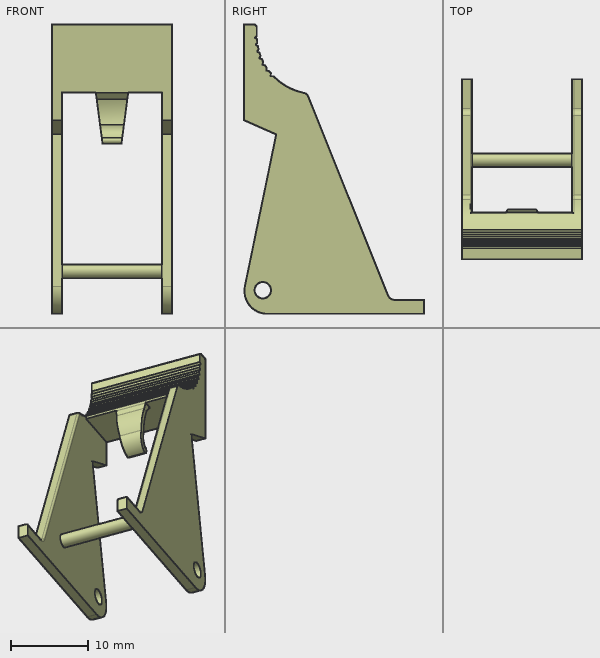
import cadquery as cq
import math

width = 15.6
depth = 23.35
height = 37.52

arm_thickness = 1.35
inner_width = width - 2 * arm_thickness
bridge_back_y = 6.08
bridge_bottom_z = 28.7
inner_edge_radius = 0.25

plate_thickness = 1.7
plate_bottom_z = 25.1
notch = (4.15, 23.25)
front_toe = (-0.65, 0.0)
toe_radius = 3.0
foot_height = 1.85
foot_corner = (18.9, foot_height)
foot_radius = 0.95
shoulder_y = 8.18
shoulder_radius = 0.75
plate_top_chamfer = 0.25

rest_radius = 7.58
rest_center = (plate_thickness + rest_radius, 36.1)

groove_count = 7
first_groove_angle = 2.0
groove_pitch_angle = 6.7
groove_depth = 0.25
groove_half_width = 0.23

hole_diameter = 2.1
hole_center = (2.45, 3.08)
pin_diameter = 1.8
pin_center = (12.85, 5.5)

tongue_root_width = 4.28
tongue_tip_width = 2.48
tongue_bottom_z = 22.05
tongue_thickness = 0.7
tongue_waist = (5.75, 26.2)
tongue_bow_radius = 5.33
tongue_bow_half_height = 1.65
tongue_tip = (4.5, 22.85)
tongue_curl = (5.18, 23.37)


def rest_point(angle, radius):
    """Point on a circle about the thumb rest center, angle measured down from its front."""
    turn = math.radians(angle)
    return (rest_center[0] - radius * math.cos(turn), rest_center[1] - radius * math.sin(turn))


def extrude_across(sketch, across):
    """Extrude a YZ sketch symmetrically about the middle plane."""
    return sketch.extrude(across / 2, both=True)


def edge_near(point):
    """Selector for the edge running along X closest to a (y, z) point."""
    return cq.selectors.NearestToPointSelector((0, point[0], point[1]))


def make_body():
    """Full-width block with the lever's side profile."""
    shoulder_angle = math.degrees(math.acos((rest_center[0] - shoulder_y) / rest_radius))
    shoulder = rest_point(shoulder_angle, rest_radius)
    sketch = (
        cq.Workplane("YZ")
        .moveTo(*front_toe)
        .lineTo(depth, 0)
        .lineTo(depth, foot_height)
        .lineTo(*foot_corner)
        .lineTo(*shoulder)
        .threePointArc(rest_point(shoulder_angle / 2, rest_radius), rest_point(0, rest_radius))
        .lineTo(plate_thickness, height)
        .lineTo(0, height)
        .lineTo(0, plate_bottom_z)
        .lineTo(*notch)
        .close()
    )
    body = extrude_across(sketch, width)
    body = body.edges("|X").edges(edge_near(front_toe)).fillet(toe_radius)
    body = body.edges("|X").edges(edge_near(foot_corner)).fillet(foot_radius)
    body = body.edges("|X").edges(edge_near(shoulder)).fillet(shoulder_radius)
    return body.edges("|X").edges(edge_near((plate_thickness, height))).chamfer(plate_top_chamfer)


def make_opening():
    """Space between the arms: behind the bridge and below it."""
    behind = cq.Workplane("XY").box(inner_width, depth, height, centered=(True, False, False))
    behind = behind.translate((0, bridge_back_y, 0))
    below = cq.Workplane("XY").box(inner_width, depth, bridge_bottom_z, centered=(True, False, False))
    return behind.union(below)


def round_inner_edges(body):
    """Round the inside upper edges of the arms and the rear upper edge of the bridge."""
    margin = 0.05
    low = (-inner_width / 2 - margin, bridge_back_y - margin, foot_height - margin)
    high = (inner_width / 2 + margin, depth + margin, height)
    upper_edges = cq.selectors.BoxSelector(low, high, boundingbox=True)
    bridge_edges = body.edges(upper_edges).edges("|X").edges(">Z")
    arm_edges = body.edges(upper_edges).edges("not |X").edges("not |Z")
    return bridge_edges.add(arm_edges).fillet(inner_edge_radius)


def make_grooves():
    """V grooves across the full width of the thumb rest."""
    half_angle = math.degrees(groove_half_width / rest_radius)
    grooves = cq.Workplane("YZ")
    for index in range(groove_count):
        angle = first_groove_angle + index * groove_pitch_angle
        sketch = cq.Workplane("YZ").polyline([
            rest_point(angle - half_angle, rest_radius),
            rest_point(angle, rest_radius + groove_depth),
            rest_point(angle + half_angle, rest_radius),
            rest_point(angle, rest_radius - groove_depth),
        ]).close()
        grooves = grooves.add(extrude_across(sketch, width))
    return grooves.combine()


def make_tongue():
    """Bowed strip curling forward at its rounded tip and narrowing downward."""
    waist_y, waist_z = tongue_waist
    bow_rise = tongue_bow_radius - math.sqrt(tongue_bow_radius**2 - tongue_bow_half_height**2)
    bow_y = waist_y - bow_rise
    bow_low = waist_z - tongue_bow_half_height
    bow_high = waist_z + tongue_bow_half_height
    root_z = bridge_bottom_z + tongue_thickness / 4
    tip_y, tip_z = tongue_tip
    tip_radius = (tip_z - tongue_bottom_z) / 2
    curl_y, curl_z = tongue_curl
    curl_offset = tongue_thickness / math.sqrt(2)
    strip = extrude_across(
        cq.Workplane("YZ")
        .moveTo(bow_y - tongue_thickness, root_z)
        .lineTo(bow_y - tongue_thickness, bridge_bottom_z)
        .lineTo(bow_y, bow_high)
        .threePointArc(tongue_waist, (bow_y, bow_low))
        .threePointArc(tongue_curl, tongue_tip)
        .threePointArc((tip_y - tip_radius, tip_z - tip_radius), (tip_y, tongue_bottom_z))
        .threePointArc(
            (curl_y + curl_offset, curl_z - curl_offset),
            (bow_y + tongue_thickness, bow_low),
        )
        .threePointArc((waist_y + tongue_thickness, waist_z), (bow_y + tongue_thickness, bow_high))
        .lineTo(bridge_back_y, bridge_bottom_z)
        .lineTo(bridge_back_y, root_z)
        .close(),
        inner_width,
    )
    taper = (
        cq.Workplane("XZ")
        .polyline([
            (-tongue_tip_width / 2, tongue_bottom_z),
            (tongue_tip_width / 2, tongue_bottom_z),
            (tongue_root_width / 2, root_z),
            (-tongue_root_width / 2, root_z),
        ])
        .close()
        .extrude(-depth)
    )
    return strip.intersect(taper)


def make_rod(center, diameter, length):
    """Round bar along X, used for the pin and for the pivot holes."""
    return extrude_across(cq.Workplane("YZ").center(*center).circle(diameter / 2), length)


frame = round_inner_edges(make_body().cut(make_opening()))
frame = frame.cut(make_grooves())
frame = frame.cut(make_rod(hole_center, hole_diameter, width))
pin = make_rod(pin_center, pin_diameter, inner_width + arm_thickness)
result = frame.union(pin).union(make_tongue())